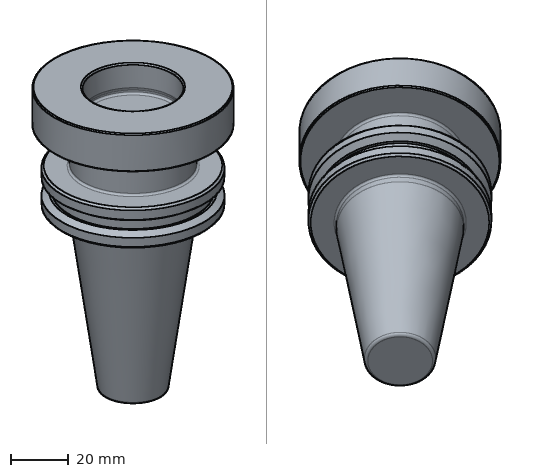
import cadquery as cq
import math

total_height = 118.2
gauge_height = 68.2
flange_gap = 3.2
flange_bottom = gauge_height + flange_gap
flange_height = 16.0
flange_top = flange_bottom + flange_height
collar_height = 15.0
collar_bottom = total_height - collar_height

collar_radius = 35.0
collar_chamfer = 0.5
neck_radius = 22.1
neck_fillet = 0.8

flange_radius = 31.8
flange_chamfer = 0.8
groove_height = 3.8
groove_offset = 11.1
groove_middle = gauge_height + groove_offset
groove_floor_radius = 28.3
groove_ledge_radius = 29.2
flank_height = 1.7
groove_top = groove_middle + groove_height / 2
groove_bottom = groove_middle - groove_height / 2

gauge_radius = 22.2
taper_per_length = 7 / 24
tip_radius = gauge_radius - gauge_height * taper_per_length / 2
tip_fillet = 1.2

bore_radius = 17.5
bore_depth = 12.1
bore_mouth_chamfer = 0.6
relief_height = 2.6
relief_depth = 0.3
relief_angle = 15
relief_fillet = 0.8

arc_middle_inset = 1 - math.sqrt(0.5)


def revolve_profile(points):
    """Spin a closed outline of (radius, height) points around the vertical axis."""
    return cq.Workplane("XZ").polyline(points).close().revolve(360, (0, 0, 0), (0, 1, 0))


def make_taper():
    """Tapered shank with a rounded tip, and the short cylinder above it."""
    taper = revolve_profile([
        (0, 0),
        (tip_radius, 0),
        (neck_radius, gauge_height),
        (neck_radius, flange_bottom),
        (0, flange_bottom),
    ])
    return taper.faces("<Z").edges().fillet(tip_fillet)


def make_flange():
    """Chamfered flange with a groove whose sloping flanks end in a flat ledge."""
    return revolve_profile([
        (0, flange_bottom),
        (flange_radius - flange_chamfer, flange_bottom),
        (flange_radius, flange_bottom + flange_chamfer),
        (flange_radius, groove_bottom - flank_height),
        (groove_ledge_radius, groove_bottom),
        (groove_floor_radius, groove_bottom),
        (groove_floor_radius, groove_top),
        (groove_ledge_radius, groove_top),
        (flange_radius, groove_top + flank_height),
        (flange_radius, flange_top - flange_chamfer),
        (flange_radius - flange_chamfer, flange_top),
        (0, flange_top),
    ])


def make_neck_and_collar():
    """Plain neck carrying the wide collar."""
    return revolve_profile([
        (0, flange_top),
        (neck_radius, flange_top),
        (neck_radius, collar_bottom),
        (collar_radius - collar_chamfer, collar_bottom),
        (collar_radius, collar_bottom + collar_chamfer),
        (collar_radius, total_height - collar_chamfer),
        (collar_radius - collar_chamfer, total_height),
        (0, total_height),
    ])


def make_neck_fillet(face_height, direction):
    """Ring filling the corner between a flat face and the neck, on the side that direction points to."""
    arc_inset = neck_fillet * arc_middle_inset
    outline = (
        cq.Workplane("XZ")
        .moveTo(neck_radius, face_height)
        .lineTo(neck_radius + neck_fillet, face_height)
        .threePointArc(
            (neck_radius + arc_inset, face_height + direction * arc_inset),
            (neck_radius, face_height + direction * neck_fillet),
        )
        .close()
    )
    return outline.revolve(360, (0, 0, 0), (0, 1, 0))


def make_bore():
    """Material removed by the bore, its mouth chamfer and its corner relief."""
    bore_floor = total_height - bore_depth
    relief_radius = bore_radius + relief_depth
    relief_top = bore_floor + relief_height
    relief_cone_height = relief_depth / math.tan(math.radians(relief_angle))
    arc_inset = relief_fillet * arc_middle_inset
    fillet_middle = (relief_radius - arc_inset, bore_floor + arc_inset)
    outline = (
        cq.Workplane("XZ")
        .moveTo(0, bore_floor)
        .lineTo(relief_radius - relief_fillet, bore_floor)
        .threePointArc(fillet_middle, (relief_radius, bore_floor + relief_fillet))
        .lineTo(relief_radius, relief_top - relief_cone_height)
        .lineTo(bore_radius, relief_top)
        .lineTo(bore_radius, total_height - bore_mouth_chamfer)
        .lineTo(bore_radius + bore_mouth_chamfer, total_height)
        .lineTo(0, total_height)
        .close()
    )
    return outline.revolve(360, (0, 0, 0), (0, 1, 0))


holder = make_taper().union(make_flange()).union(make_neck_and_collar())
for face_height, direction in [(flange_bottom, -1), (flange_top, 1), (collar_bottom, -1)]:
    holder = holder.union(make_neck_fillet(face_height, direction))

result = holder.cut(make_bore())